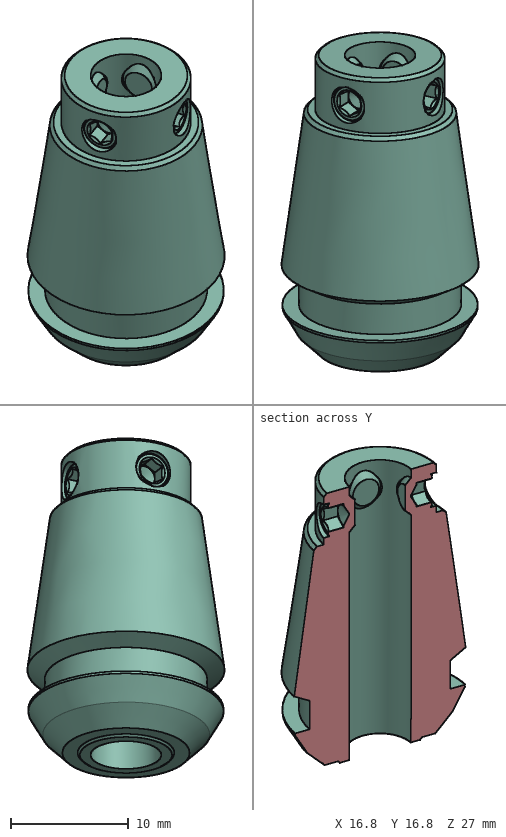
import cadquery as cq
import math

total_height = 27.0
bore_radius = 3.0

lip_bottom_radius = 3.92
lip_top_radius = 4.1
lip_height = 0.2
base_bottom_radius = 5.4
base_break_z = 1.9
base_break_radius = base_bottom_radius + (base_break_z - lip_height)
flange_radius = 16.6 / 2
flange_bottom_z = 4.0
flange_top_z = 4.2

neck_radius = 13.8 / 2
neck_top_z = 7.0
body_max_radius = 16.77 / 2
undercut_angle = 30.0
undercut_rise = (body_max_radius - neck_radius) * math.tan(math.radians(undercut_angle))
body_max_z = neck_top_z + undercut_rise

collar_height = 4.97
collar_radius = 5.5
collar_chamfer = 0.3
shoulder_z = total_height - collar_height
body_top_radius = 6.48
shoulder_chamfer = 0.32

screw_count = 4
cut_clearance = 0.27
screw_hole_radius = 1.62
screw_radius = 2.0
screw_z = total_height - 2.7
screw_tip_x = 2.43
screw_tip_radius = 1.27
screw_tip_chamfer = screw_radius - screw_tip_radius
screw_head_x = 5.08
screw_head_radius = 1.48
screw_head_chamfer = screw_radius - screw_head_radius

socket_sides = 6
socket_turn = 90
socket_across_flats = 2.0
socket_corner_radius = socket_across_flats / math.sqrt(3)
socket_mouth_radius = 1.22
socket_depth = 1.5
socket_drill_radius = 0.97
socket_drill_angle = 120.0
socket_drill_depth = socket_drill_radius / math.tan(math.radians(socket_drill_angle / 2))


def revolve_about_z(profile):
    """Close a radius-height profile and turn it about the part axis."""
    return profile.close().revolve(360, (0, 0, 0), (0, 1, 0))


def revolve_about_screw_axis(profile):
    """Close a profile and turn it about the screw axis, which runs along X."""
    return profile.close().revolve(360, (0, screw_z, 0), (1, screw_z, 0))


def make_body():
    """Solid turned outline: base, groove, tapered body and collar."""
    return revolve_about_z(
        cq.Workplane("XZ")
        .moveTo(0, 0)
        .lineTo(lip_bottom_radius, 0)
        .lineTo(lip_top_radius, lip_height)
        .lineTo(base_bottom_radius, lip_height)
        .lineTo(base_break_radius, base_break_z)
        .lineTo(flange_radius, flange_bottom_z)
        .lineTo(flange_radius, flange_top_z)
        .lineTo(neck_radius, flange_top_z)
        .lineTo(neck_radius, neck_top_z)
        .lineTo(body_max_radius, body_max_z)
        .lineTo(body_top_radius, shoulder_z - shoulder_chamfer)
        .lineTo(body_top_radius - shoulder_chamfer, shoulder_z)
        .lineTo(collar_radius, shoulder_z)
        .lineTo(collar_radius, total_height - collar_chamfer)
        .lineTo(collar_radius - collar_chamfer, total_height)
        .lineTo(0, total_height)
    )


def make_bore():
    """Plain bore right through the part."""
    return cq.Workplane("XY").circle(bore_radius).extrude(total_height)


def make_screw_hole():
    """Radial hole along +X, from the axis out through the collar wall."""
    return (
        cq.Workplane("YZ")
        .center(0, screw_z)
        .circle(screw_hole_radius)
        .extrude(collar_radius + cut_clearance)
    )


def make_socket():
    """Hex socket with a conical mouth and a drill-point bottom."""
    hexagon = (
        cq.Workplane("YZ", origin=(screw_head_x, 0, screw_z))
        .polygon(socket_sides, 2 * socket_corner_radius)
        .extrude(-socket_depth)
        .rotate((0, 0, screw_z), (1, 0, screw_z), socket_turn)
    )
    floor_x = screw_head_x - socket_depth
    drill_point = revolve_about_screw_axis(
        cq.Workplane("XZ")
        .moveTo(floor_x - socket_drill_depth, screw_z)
        .lineTo(floor_x, screw_z + socket_drill_radius)
        .lineTo(floor_x, screw_z)
    )
    mouth = revolve_about_screw_axis(
        cq.Workplane("XZ")
        .moveTo(screw_head_x - socket_mouth_radius, screw_z)
        .lineTo(screw_head_x, screw_z + socket_mouth_radius)
        .lineTo(screw_head_x, screw_z)
    )
    return hexagon.union(drill_point).union(mouth)


def make_screw():
    """Grub screw along +X with chamfered ends; its tip stands out into the bore."""
    blank = revolve_about_screw_axis(
        cq.Workplane("XZ")
        .moveTo(screw_tip_x, screw_z)
        .lineTo(screw_tip_x, screw_z + screw_tip_radius)
        .lineTo(screw_tip_x + screw_tip_chamfer, screw_z + screw_radius)
        .lineTo(screw_head_x - screw_head_chamfer, screw_z + screw_radius)
        .lineTo(screw_head_x, screw_z + screw_head_radius)
        .lineTo(screw_head_x, screw_z)
    )
    return blank.cut(make_socket())


result = make_body().cut(make_bore())
screw_hole = make_screw_hole()
screw = make_screw()
for index in range(screw_count):
    angle = index * 360 / screw_count
    result = result.cut(screw_hole.rotate((0, 0, 0), (0, 0, 1), angle))
    result = result.union(screw.rotate((0, 0, 0), (0, 0, 1), angle))